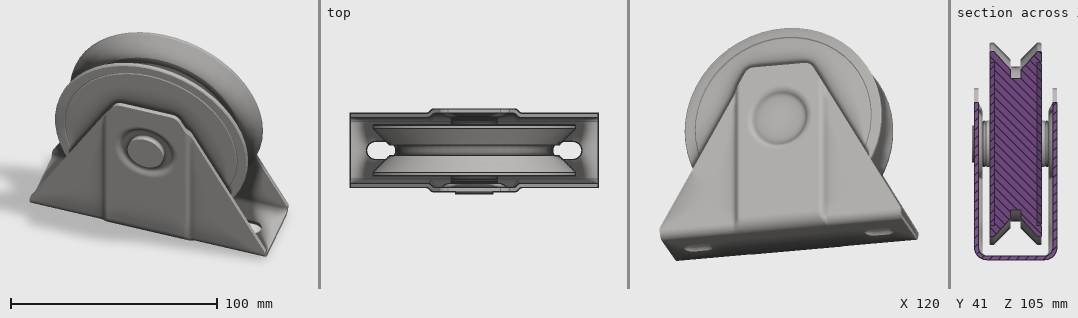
import cadquery as cq
import math

bracket_length = 120.0
bracket_width = 36.0
bracket_height = 83.0
sheet = 2.0
inner_bend_radius = 2.0
outer_bend_radius = inner_bend_radius + sheet
leg_foot_height = 5.0
leg_top_length = 31.2
leg_top_radius = 5.0

step_angle = 45.0
panel_offset = 2.0
panel_half_length = 20.4
outer_step_radius = 2.0
inner_step_radius = 1.9

dish_depth = 2.0
dish_floor_radius = 12.0
dish_floor_bend = 2.0
dish_rim_bend = 4.0

slot_length = 14.0
slot_width = 8.6
slot_spacing = 90.0

axle_height = 56.0
wheel_diameter = 98.0
wheel_width = 25.0
tread_diameter = 75.0
groove_width = 5.0
flank_start_diameter = 82.0
wheel_edge_chamfer = 0.42
cover_diameter = 87.7
cover_thickness = 2.0
cover_edge_chamfer = 0.42
sleeve_diameter = 22.5
sleeve_length = 28.8
ring_chamfer = 0.54
axle_diameter = 18.0
axle_projection = 1.0

leg_face = bracket_width / 2
panel_face = leg_face + panel_offset
dish_floor_face = panel_face - dish_depth
washer_seat = dish_floor_face - sheet
washer_thickness = washer_seat - sleeve_length / 2
tolerance = 0.1
diagonal = math.sqrt(0.5)
dish_bends = dish_floor_bend + dish_rim_bend
dish_straight_drop = dish_depth - dish_bends * (1 - diagonal)
dish_rim_radius = dish_floor_radius + dish_bends * diagonal + dish_straight_drop

largest_circle = cq.selectors.RadiusNthSelector(-1)


def ring(outer_diameter, inner_diameter, width, y_start):
    """Ring on the wheel axis, running from y_start towards +Y."""
    return (
        cq.Workplane("XZ", origin=(0, y_start, axle_height))
        .circle(outer_diameter / 2)
        .circle(inner_diameter / 2)
        .extrude(-width)
    )


def quarter_bar(half_width, floor, bend_radius):
    """Quarter of a solid bar (+X, +Y) with its lower long edge rounded."""
    return (
        cq.Workplane("XY", origin=(0, 0, floor))
        .rect(bracket_length / 2, half_width, centered=False)
        .extrude(bracket_height)
        .edges("|X and <Z and >Y")
        .fillet(bend_radius)
    )


def quarter_panel(half_length, half_width, floor, bend_radius):
    """Quarter of the wider centre part, ending in a 45 degree taper."""
    foot = half_width - bend_radius
    foot_half_length = half_length + bend_radius
    plan = (
        cq.Workplane("XY")
        .polyline([
            (0, 0),
            (foot_half_length, 0),
            (foot_half_length, foot),
            (half_length, half_width),
            (0, half_width),
        ])
        .close()
        .extrude(bracket_height)
    )
    return quarter_bar(half_width, floor, bend_radius).intersect(plan)


def join_with_rounded_step(bar, panel, leg_half_width, edge_radius):
    """Adds the panel to the bar and rounds both edges of the 45 degree step."""
    panel = panel.edges("|Z and >Y").edges(">X").fillet(edge_radius)
    block = bar.union(panel)
    step_foot = cq.selectors.BoxSelector(
        (tolerance, leg_half_width - tolerance, 0),
        (bracket_length / 4, leg_half_width + tolerance, bracket_height),
    )
    return block.edges("|Z").edges(step_foot).fillet(edge_radius)


def outer_quarter():
    """Quarter of the bracket as if it were solid."""
    bend_radius = outer_bend_radius + panel_offset
    bar = quarter_bar(leg_face, 0, outer_bend_radius)
    panel = quarter_panel(panel_half_length, panel_face, 0, bend_radius)
    return join_with_rounded_step(bar, panel, leg_face, outer_step_radius)


def inner_quarter():
    """Quarter of the space enclosed by the folded sheet."""
    leg_inside = leg_face - sheet
    half_length = panel_half_length - sheet * math.tan(math.radians(step_angle / 2))
    bend_radius = inner_bend_radius + panel_offset
    bar = quarter_bar(leg_inside, sheet, inner_bend_radius)
    panel = quarter_panel(half_length, panel_face - sheet, sheet, bend_radius)
    return join_with_rounded_step(bar, panel, leg_inside, inner_step_radius)


def leg_outline():
    """Side outline of the legs: sloping edges and rounded top corners."""
    half_length = bracket_length / 2
    top_half_length = leg_top_length / 2
    return (
        cq.Workplane("XZ", origin=(0, bracket_width, 0))
        .polyline([
            (-half_length, 0),
            (half_length, 0),
            (half_length, leg_foot_height),
            (top_half_length, bracket_height),
            (-top_half_length, bracket_height),
            (-half_length, leg_foot_height),
        ])
        .close()
        .extrude(2 * bracket_width)
        .edges("|Y and >Z")
        .fillet(leg_top_radius)
    )


def make_dish():
    """Pressed cup of constant sheet thickness that fills the opening in the +Y panel."""
    floor_bend_centre = (dish_floor_radius, dish_floor_face + dish_floor_bend)
    rim_bend_centre = (dish_rim_radius, panel_face - dish_rim_bend)

    def floor_bend(radius, angle):
        turn = math.radians(angle)
        return (
            floor_bend_centre[0] + radius * math.sin(turn),
            floor_bend_centre[1] - radius * math.cos(turn),
        )

    def rim_bend(radius, angle):
        turn = math.radians(angle)
        return (
            rim_bend_centre[0] - radius * math.sin(turn),
            rim_bend_centre[1] + radius * math.cos(turn),
        )

    outer_floor, inner_floor = dish_floor_bend, dish_floor_bend + sheet
    outer_rim, inner_rim = dish_rim_bend, dish_rim_bend - sheet
    return (
        cq.Workplane("XY")
        .moveTo(axle_diameter / 2, dish_floor_face)
        .lineTo(*floor_bend(outer_floor, 0))
        .threePointArc(floor_bend(outer_floor, step_angle / 2), floor_bend(outer_floor, step_angle))
        .lineTo(*rim_bend(outer_rim, step_angle))
        .threePointArc(rim_bend(outer_rim, step_angle / 2), rim_bend(outer_rim, 0))
        .lineTo(*rim_bend(inner_rim, 0))
        .threePointArc(rim_bend(inner_rim, step_angle / 2), rim_bend(inner_rim, step_angle))
        .lineTo(*floor_bend(inner_floor, step_angle))
        .threePointArc(floor_bend(inner_floor, step_angle / 2), floor_bend(inner_floor, 0))
        .lineTo(axle_diameter / 2, washer_seat)
        .close()
        .revolve(360, (0, 0, 0), (0, 1, 0))
        .translate((0, 0, axle_height))
    )


def make_bracket():
    """Folded sheet bracket with its pressed dishes and mounting slots."""
    quarter = outer_quarter().cut(inner_quarter())
    half = quarter.union(quarter.mirror("YZ")).intersect(leg_outline())
    dish_opening = (
        cq.Workplane("XZ", origin=(0, 0, axle_height))
        .circle(dish_rim_radius)
        .extrude(-bracket_width)
    )
    half = half.cut(dish_opening).union(make_dish())
    slots = (
        cq.Workplane("XY")
        .pushPoints([(-slot_spacing / 2, 0), (slot_spacing / 2, 0)])
        .slot2D(slot_length, slot_width)
        .extrude(sheet)
    )
    return half.union(half.mirror("XZ")).cut(slots)


def make_wheel():
    """Grooved wheel with 45 degree flanks and a recess for a cover in each face."""
    half_width = wheel_width / 2
    half_groove = groove_width / 2
    rim = wheel_diameter / 2
    flank_start = flank_start_diameter / 2
    flank_end = half_groove + rim - flank_start
    bore = sleeve_diameter / 2
    seat = cover_diameter / 2
    seat_floor = half_width - cover_thickness
    half_profile = [
        (bore, seat_floor),
        (seat, seat_floor),
        (seat, half_width - cover_edge_chamfer),
        (seat + cover_edge_chamfer, half_width),
        (rim - wheel_edge_chamfer, half_width),
        (rim, half_width - wheel_edge_chamfer),
        (rim, flank_end),
        (flank_start, half_groove),
        (tread_diameter / 2, half_groove),
    ]
    mirrored = [(radius, -y) for radius, y in reversed(half_profile)]
    return (
        cq.Workplane("XY")
        .polyline(half_profile + mirrored)
        .close()
        .revolve(360, (0, 0, 0), (0, 1, 0))
        .translate((0, 0, axle_height))
    )


def place(body, side):
    """Body made on the +Y side, mirrored for side -1."""
    return body if side > 0 else body.mirror("XZ")


def make_cover(side):
    """Disc closing one face of the wheel, its outer rim chamfered."""
    cover = ring(cover_diameter, sleeve_diameter, cover_thickness, wheel_width / 2 - cover_thickness)
    cover = cover.faces(">Y").edges(largest_circle).chamfer(cover_edge_chamfer)
    return place(cover, side)


def make_sleeve():
    """Bush through the wheel that turns on the axle."""
    sleeve = ring(sleeve_diameter, axle_diameter, sleeve_length, -sleeve_length / 2)
    return sleeve.edges(largest_circle).chamfer(ring_chamfer)


def make_washer(side):
    """Spacer between the sleeve and one dish floor."""
    washer = ring(sleeve_diameter, axle_diameter, washer_thickness, sleeve_length / 2)
    return place(washer.edges(largest_circle).chamfer(ring_chamfer), side)


def make_axle():
    """Plain pin, standing proud at the -Y side and flush with the +Y dish floor."""
    front = -(panel_face + axle_projection)
    return (
        cq.Workplane("XZ", origin=(0, front, axle_height))
        .circle(axle_diameter / 2)
        .extrude(front - dish_floor_face)
    )


bracket = make_bracket()
wheel = make_wheel()
sleeve = make_sleeve()
axle = make_axle()
covers = [make_cover(side) for side in (-1, 1)]
washers = [make_washer(side) for side in (-1, 1)]

bodies = [bracket, wheel, sleeve, axle, *covers, *washers]
result = cq.Compound.makeCompound([body.solids().val() for body in bodies])